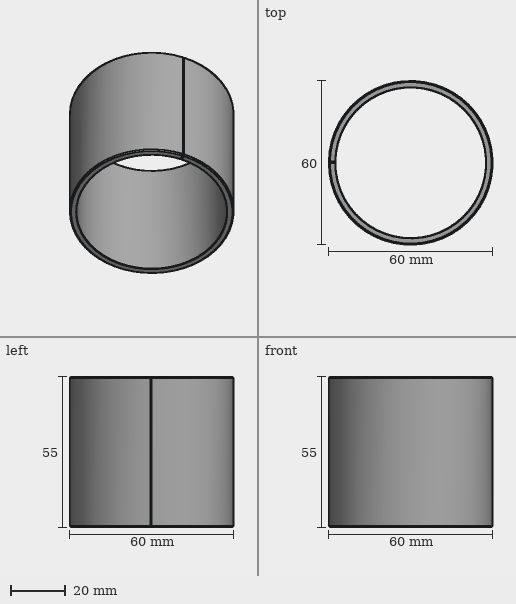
import cadquery as cq

outer_diameter = 60.0
inner_diameter = 55.0
length = 55.0
outer_chamfer = 0.5
inner_chamfer = 0.2
gap_angle = 1.0

full_turn = 360.0
outer_radius = outer_diameter / 2
inner_radius = inner_diameter / 2


def wall_section():
    """Wall profile in the XZ plane on the -X side, chamfered at both ends."""
    return (
        cq.Workplane("XZ")
        .moveTo(-inner_radius, inner_chamfer)
        .lineTo(-inner_radius - inner_chamfer, 0)
        .lineTo(-outer_radius + outer_chamfer, 0)
        .lineTo(-outer_radius, outer_chamfer)
        .lineTo(-outer_radius, length - outer_chamfer)
        .lineTo(-outer_radius + outer_chamfer, length)
        .lineTo(-inner_radius - inner_chamfer, length)
        .lineTo(-inner_radius, length - inner_chamfer)
        .close()
    )


def rolled_sleeve():
    """Sweep the wall about Z from -X through -Y, stopping short of a full turn.

    The gap that is left runs the full length, on the +Y side of the XZ plane.
    """
    return wall_section().revolve(full_turn - gap_angle, (0, 0, 0), (0, 1, 0))


result = rolled_sleeve()